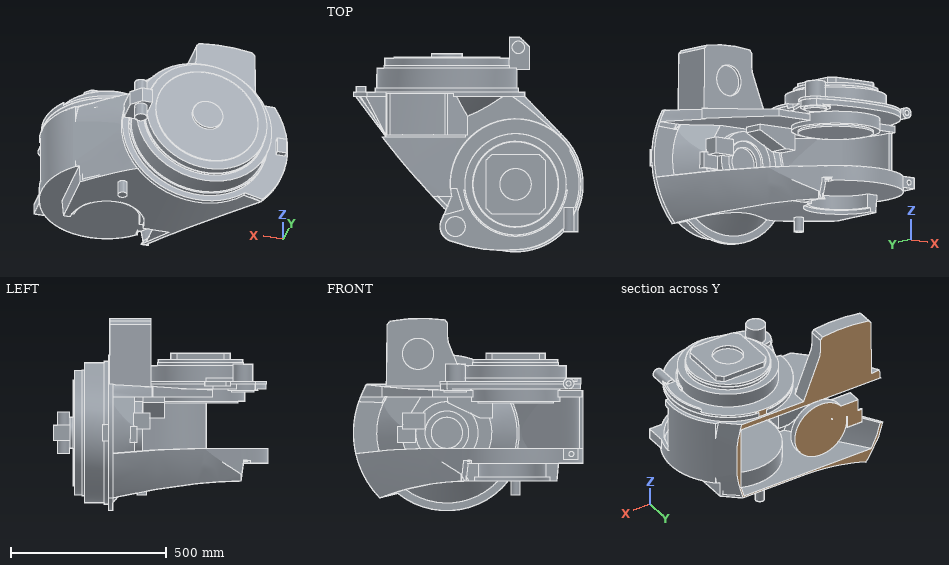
import cadquery as cq
import math

JOINT_X = 220.0
JOINT_RADIUS = 217.0
FLANGE_RADIUS = 250.0
SECTOR_RADIUS = 300.0
FLANGE_FRONT = 281.0
FLANGE_BACK = 295.0

LEFT_BOW = (-140.0, 67.0)
LEFT_TANGENT = 217.8
RIGHT_TANGENT = 44.8
WALL = 12.0
RIGHT_INSET = 18.0

ARM_BEND_X = -54.0
PLATE_BEND_X = 30.0
ARM_BOTTOM_BOW = (-89.0, -171.0)
SECTOR_CORNER_X = -216.0

ARM_TOP = -50.0
ARM_TOP_AT_SECTOR = -68.0
RING_BOTTOM = -98.0
RING_FLOOR = -92.0
TUB_FLOOR = -147.0
ARM_BOTTOM = -155.0
ARM_BOTTOM_AT_SECTOR = -209.0
PLATE_BOTTOM = 115.0
PLATE_TOP = 136.0
PLATE_TOP_AT_SECTOR = 160.0
SECTOR_TOP = 156.0

PLATE_END = -39.0
WALL_END = -18.5
TUB_END = -130.0
TUB_END_SLANT = 8.0
TUB_FRONT = -40.0
TUB_LEFT_X = 58.0
TUB_SIDE_X = 358.0
TUB_SIDE_SLANT = 5.0
WALL_START_X = 200.0

CLAMP_RADIUS = 210.0
CLAMP_BOTTOM = 140.0
CLAMP_TOP = 165.0
LOBE = (27.0, -135.5)
LOBE_RADIUS = 49.5

HINGE_FRONT = -153.0
HINGE_BACK = -75.0

BIG = 1000.0


def disc_y(radius, y_start, y_end, x=0.0, z=0.0):
    """Cylinder along Y."""
    start = cq.Vector(x, y_start, z)
    return cq.Workplane(cq.Solid.makeCylinder(radius, y_end - y_start, start, cq.Vector(0, 1, 0)))


def disc_z(radius, z_start, z_end, x=JOINT_X, y=0.0):
    """Cylinder along Z."""
    start = cq.Vector(x, y, z_start)
    return cq.Workplane(cq.Solid.makeCylinder(radius, z_end - z_start, start, cq.Vector(0, 0, 1)))


def block(x_range, y_range, z_range):
    """Box given by its limits along each axis."""
    lows, highs = zip(x_range, y_range, z_range)
    size = [high - low for low, high in zip(lows, highs)]
    return cq.Workplane("XY").box(*size, centered=False).translate(lows)


def joint_point(angle):
    """Plan point on the round end of the fork, at an angle in degrees from +X."""
    turn = math.radians(angle)
    return (JOINT_X + JOINT_RADIUS * math.cos(turn), JOINT_RADIUS * math.sin(turn))


def fork_prism(z_start, z_end, inset=0.0):
    """Plan outline of the fork: a bowed left side, the round joint end and a straight right side."""
    outline = (
        cq.Workplane("XY", origin=(0, 0, z_start))
        .moveTo(-SECTOR_RADIUS, FLANGE_BACK)
        .lineTo(-SECTOR_RADIUS, FLANGE_FRONT)
        .threePointArc(LEFT_BOW, joint_point(LEFT_TANGENT))
        .threePointArc(joint_point(-90), joint_point(RIGHT_TANGENT))
        .lineTo(FLANGE_RADIUS, FLANGE_FRONT)
        .lineTo(FLANGE_RADIUS, FLANGE_BACK)
        .close()
    )
    if inset:
        outline = outline.offset2D(-inset)
    return outline.extrude(z_end - z_start)


def left_envelope(inset=0.0):
    """Left limit of the lower arm: the sector arc, shifting toward the joint."""
    blend_depth = 411.0
    end_radius = 313.0
    end_center = 329.0
    end_y = FLANGE_FRONT - blend_depth
    shifted = (
        cq.Workplane("XZ", origin=(0, FLANGE_FRONT, 0))
        .circle(SECTOR_RADIUS - inset)
        .workplane(offset=blend_depth)
        .center(end_center, 0)
        .circle(end_radius - inset)
        .loft(ruled=True)
    )
    base = disc_y(SECTOR_RADIUS - inset, FLANGE_FRONT, FLANGE_BACK)
    front = block((-BIG, BIG), (-BIG, end_y), (-BIG, BIG))
    right = block((JOINT_X, BIG), (end_y, BIG), (-BIG, BIG))
    return shifted.union(base).union(front).union(right)


def right_envelope(inset=0.0):
    """Right limit of the fork: the flange circle, widening toward the joint; open on the left."""
    blend_depth = 123.0
    wide_radius = 601.0
    wide_center = -227.0
    widening = (
        cq.Workplane("XZ", origin=(0, FLANGE_FRONT, 0))
        .circle(FLANGE_RADIUS - inset)
        .workplane(offset=blend_depth)
        .center(wide_center, 0)
        .circle(wide_radius)
        .loft(ruled=True)
    )
    base = disc_y(FLANGE_RADIUS - inset, FLANGE_FRONT, FLANGE_BACK)
    left = block((-BIG, 0), (-BIG, BIG), (-BIG, BIG))
    front = block((-BIG, BIG), (-BIG, FLANGE_FRONT - blend_depth), (-BIG, BIG))
    return left.union(front).union(widening).union(base)


def lower_arm():
    """Lower arm ending in a shallow ring around the joint; its left side is deeper."""
    profile = (
        cq.Workplane("XZ", origin=(0, FLANGE_BACK, 0))
        .moveTo(BIG, ARM_TOP)
        .lineTo(ARM_BEND_X, ARM_TOP)
        .tangentArcPoint((-SECTOR_RADIUS, ARM_TOP_AT_SECTOR), relative=False)
        .lineTo(-SECTOR_RADIUS, ARM_BOTTOM_AT_SECTOR)
        .lineTo(SECTOR_CORNER_X, ARM_BOTTOM_AT_SECTOR)
        .threePointArc(ARM_BOTTOM_BOW, (TUB_LEFT_X, ARM_BOTTOM))
        .lineTo(TUB_SIDE_X - TUB_SIDE_SLANT, ARM_BOTTOM)
        .lineTo(TUB_SIDE_X, RING_BOTTOM)
        .lineTo(BIG, RING_BOTTOM)
        .close()
        .extrude(BIG)
    )
    before_tub = (
        cq.Workplane("YZ", origin=(-BIG, 0, 0))
        .polyline([
            (-BIG, RING_BOTTOM),
            (TUB_END - TUB_END_SLANT, RING_BOTTOM),
            (TUB_END, ARM_BOTTOM),
            (TUB_END, -BIG),
            (-BIG, -BIG),
        ])
        .close()
        .extrude(2 * BIG)
    )
    return fork_prism(-BIG, BIG).intersect(profile).cut(before_tub).intersect(left_envelope())


def upper_plate():
    """Upper fork plate, rising toward the left."""
    profile = (
        cq.Workplane("XZ", origin=(0, FLANGE_BACK, 0))
        .moveTo(BIG, PLATE_TOP)
        .lineTo(PLATE_BEND_X, PLATE_TOP)
        .tangentArcPoint((-SECTOR_RADIUS, PLATE_TOP_AT_SECTOR), relative=False)
        .lineTo(-SECTOR_RADIUS, PLATE_BOTTOM)
        .lineTo(BIG, PLATE_BOTTOM)
        .close()
        .extrude(FLANGE_BACK - PLATE_END)
    )
    return fork_prism(-BIG, BIG).intersect(profile).intersect(plate_left_limit())


def plate_left_limit():
    """Limit of the upper plate whose left edge leans in at the flange and turns upright further out."""
    upright_y = 152.0
    edge_x = -193.0
    low_edge_x = -277.0
    high_edge_x = -257.0
    middle = [(0, PLATE_TOP_AT_SECTOR), (0, PLATE_BOTTOM)]
    leaning = (
        cq.Workplane("XZ", origin=(0, FLANGE_FRONT, 0))
        .polyline([(low_edge_x, PLATE_BOTTOM), (high_edge_x, PLATE_TOP_AT_SECTOR), *middle])
        .close()
        .workplane(offset=FLANGE_FRONT - upright_y)
        .polyline([(edge_x, PLATE_BOTTOM), (edge_x, PLATE_TOP_AT_SECTOR), *middle])
        .close()
        .loft(ruled=True)
    )
    front = block((-BIG, BIG), (-BIG, upright_y), (-BIG, BIG))
    right = block((0, BIG), (-BIG, BIG), (-BIG, BIG))
    return leaning.union(front).union(right)


def side_wall():
    """Right side of the fork joining the lower arm to the upper plate."""
    return fork_prism(RING_BOTTOM, PLATE_BOTTOM).intersect(
        block((WALL_START_X, BIG), (WALL_END, BIG), (RING_BOTTOM, PLATE_BOTTOM))
    )


def fork_cavity():
    """Space inside the fork: the open middle, the ring recess and the deep tub."""
    tub_limits = block(
        (-BIG, TUB_SIDE_X - WALL), (TUB_FRONT + WALL, BIG), (TUB_FLOOR, RING_FLOOR)
    )
    tub = fork_prism(TUB_FLOOR, RING_FLOOR, WALL).intersect(tub_limits)
    cavity = fork_prism(RING_FLOOR, PLATE_BOTTOM, WALL).union(tub)
    return cavity.intersect(right_envelope(RIGHT_INSET)).intersect(left_envelope(WALL))


def joint_pedestal():
    """Round platform in the lower ring, standing on the tub floor."""
    radius = 174.0
    top = -87.0
    foot = disc_z(radius, ARM_BOTTOM, RING_FLOOR)
    foot = foot.intersect(block((-BIG, TUB_SIDE_X - TUB_SIDE_SLANT), (TUB_FRONT, BIG), (-BIG, BIG)))
    return disc_z(radius, RING_BOTTOM, top).union(foot)


def pedestal_recess():
    """Stepped round recess under the pedestal, open toward the front behind the lip of the arm."""
    x, y = 210.0, TUB_FRONT
    radius = 108.0
    step_radius = 121.0
    step_top = -142.0
    front_space = fork_prism(ARM_BOTTOM, RING_BOTTOM, WALL).intersect(
        block((-BIG, BIG), (-BIG, TUB_FRONT), (ARM_BOTTOM, RING_BOTTOM))
    )
    front_space = front_space.intersect(left_envelope(WALL))
    bore = disc_z(radius, ARM_BOTTOM, RING_BOTTOM, x, y)
    return bore.union(front_space).union(disc_z(step_radius, ARM_BOTTOM_AT_SECTOR, step_top, x, y))


def fork():
    """Hollow two-armed fork with the joint pedestal and a pin below the lower arm."""
    body = lower_arm().union(upper_plate()).union(side_wall()).cut(fork_cavity())
    notch_x, notch_y, notch_top = 79.0, -160.0, -88.0
    ring_notch = block((0, notch_x), (notch_y, TUB_END - TUB_END_SLANT), (RING_BOTTOM, notch_top))
    body = body.cut(ring_notch).union(joint_pedestal()).cut(pedestal_recess())
    pin_radius, pin_bottom, pin_y = 15.0, -200.0, 188.0
    bottom_pin = disc_z(pin_radius, pin_bottom, TUB_FLOOR, JOINT_X, pin_y)
    return body.intersect(right_envelope()).union(bottom_pin)


def flange():
    """Flange plate with its wider left sector, the stack of discs behind it and a tab."""
    plate = disc_y(FLANGE_RADIUS, FLANGE_FRONT, FLANGE_BACK)
    sector_limit = (
        cq.Workplane("XZ", origin=(0, FLANGE_BACK, 0))
        .polyline([
            (0, SECTOR_TOP),
            (-SECTOR_RADIUS, SECTOR_TOP),
            (-SECTOR_RADIUS, ARM_BOTTOM_AT_SECTOR),
            (SECTOR_CORNER_X, ARM_BOTTOM_AT_SECTOR),
            (0, ARM_BOTTOM),
        ])
        .close()
        .extrude(FLANGE_BACK - FLANGE_FRONT)
    )
    sector = disc_y(SECTOR_RADIUS, FLANGE_FRONT, FLANGE_BACK).intersect(sector_limit)
    body = plate.union(sector)
    stack = [(230.0, 309.0), (225.0, 372.0), (202.0, 380.0), (200.0, 404.5), (170.0, 408.5), (50.0, 418.5)]
    start = FLANGE_BACK
    for radius, end in stack:
        body = body.union(disc_y(radius, start, end))
        start = end
    tab = block((-291, -260), (FLANGE_BACK, 313.5), (-26.5, 26.5))
    return body.union(tab)


def hub():
    """Cone on the front of the flange with a round boss, two stops and a stepped recess in the boss."""
    base_radius = 225.0
    end_radius = 144.0
    cone_end = 212.0
    boss_radius = 100.0
    boss_end = 186.0
    cone_start = cq.Vector(0, cone_end, 0)
    cone_length = FLANGE_FRONT - cone_end
    cone = cq.Workplane(
        cq.Solid.makeCone(end_radius, base_radius, cone_length, cone_start, cq.Vector(0, 1, 0))
    )
    cut_corner = (-192, FLANGE_FRONT, PLATE_BOTTOM)
    chord = cq.Plane(origin=cut_corner, xDir=(102, -65, 0), normal=(-5.85, -9.18, 3.575))
    cone = cone.cut(cq.Workplane(chord).rect(2 * FLANGE_RADIUS, 2 * FLANGE_RADIUS).extrude(FLANGE_RADIUS))
    body = cone.union(disc_y(boss_radius, boss_end, cone_end))
    upper_stop = block((-142, -70), (162, 214), (12, 64))
    lower_stop = block((-158, -101), (204, 229), (-31, 21))
    body = body.union(upper_stop).union(lower_stop)
    for radius, depth in [(70.0, 8.0), (50.0, 20.0)]:
        body = body.cut(disc_y(radius, boss_end, boss_end + depth))
    return body


def flange_clamp():
    """Lug at the rear disc with a vertical pin."""
    half_height = 25.0
    inner_x, outer_x = 200.0, 265.0
    front, back = 367.0, 471.75
    pin_radius, pin_half_length = 20.0, 67.0
    pin_x, pin_y = 229.0, 439.0
    lug = (
        cq.Workplane("XY", origin=(0, 0, -half_height))
        .polyline([
            (157, 401),
            (inner_x, 401),
            (inner_x, back),
            (233, back),
            (outer_x, 441),
            (outer_x, front),
            (190, front),
            (157, 380),
        ])
        .close()
        .extrude(2 * half_height)
    )
    return lug.union(disc_z(pin_radius, -pin_half_length, pin_half_length, pin_x, pin_y))


def motor_box():
    """Box on the upper plate with a crowned top, a leaning right side and a round front recess."""
    front, back = 158.0, 291.0
    left = -195.0
    foot_width = 6.0
    foot_top = 150.0
    recess_radius, recess_depth = 50.0, 12.0
    recess_x, recess_z = -92.5, 253.0
    box = (
        cq.Workplane("XZ", origin=(0, back, 0))
        .moveTo(left, PLATE_BOTTOM)
        .lineTo(-192, 347)
        .lineTo(-182, 358)
        .threePointArc((-90, 367.2), (-6, 362))
        .lineTo(2, 352)
        .lineTo(2, 312)
        .lineTo(5, 289)
        .lineTo(75, PLATE_BOTTOM)
        .close()
        .extrude(back - front)
    )
    foot = block((left, 60), (front - foot_width, front), (PLATE_BOTTOM, foot_top))
    recess = disc_y(recess_radius, front, front + recess_depth, recess_x, recess_z)
    return box.union(foot).cut(recess)


def hanging_bracket():
    """Block with a slanted corner below the upper plate."""
    back, depth = 185.0, 70.0
    return (
        cq.Workplane("XZ", origin=(0, back, 0))
        .polyline([(2, PLATE_BOTTOM), (2, 97), (107, 47), (146, 47), (146, PLATE_BOTTOM)])
        .close()
        .extrude(depth)
    )


def clamp_layer(bottom, top, inset):
    """One layer of the clamp: the ring, the lobe and the web between them."""
    web = (
        cq.Workplane("XY", origin=(0, 0, bottom))
        .moveTo(JOINT_X, 0)
        .lineTo(14, -40)
        .lineTo(-18 + inset, -115)
        .lineTo(0, -177 + inset)
        .threePointArc((95, -205 + inset), (JOINT_X, -CLAMP_RADIUS + inset))
        .close()
        .extrude(top - bottom)
    )
    ring = disc_z(CLAMP_RADIUS - inset, bottom, top)
    return ring.union(web).union(disc_z(LOBE_RADIUS - inset, bottom, top, *LOBE))


def joint_clamp():
    """Clamp of two layers with a pin on its lobe, a slot beside the pin and a raised right rim."""
    seam_z = 157.0
    seam_step = 1.5
    slot_floor = 150.0
    collar_top = 175.0
    collar_radius = 167.0
    collar_end = -18.0
    rim_width = 6.0
    rim_start_x = 395.0
    pin_radius = 32.0
    pin_top = 220.0
    lobe_bottom = 136.0
    foot_radius = 36.0
    foot_bottom = 130.0
    body = clamp_layer(CLAMP_BOTTOM, seam_z, seam_step).union(clamp_layer(seam_z, CLAMP_TOP, 0.0))
    slot = (
        cq.Workplane("XY", origin=(0, 0, slot_floor))
        .polyline([(0, -12), (32, -14), (53, -81), (-5, -97), (-30, -90)])
        .close()
        .extrude(CLAMP_TOP - slot_floor)
    )
    body = body.cut(slot)
    half_collar = disc_z(collar_radius, CLAMP_TOP, collar_top)
    half_collar = half_collar.intersect(block((-BIG, BIG), (-BIG, collar_end), (-BIG, BIG)))
    rim = disc_z(CLAMP_RADIUS, CLAMP_TOP, collar_top)
    rim = rim.cut(disc_z(CLAMP_RADIUS - rim_width, CLAMP_TOP, collar_top))
    rim = rim.intersect(block((rim_start_x, BIG), (HINGE_BACK, BIG), (-BIG, BIG)))
    body = body.union(half_collar).union(rim)
    body = body.union(disc_z(pin_radius, CLAMP_BOTTOM, pin_top, *LOBE))
    body = body.union(disc_z(LOBE_RADIUS - seam_step, lobe_bottom, CLAMP_BOTTOM, *LOBE))
    return body.union(disc_z(foot_radius, foot_bottom, lobe_bottom, *LOBE))


def joint_stack():
    """Discs above and below the clamp and the square cap with a round recess."""
    cap_bottom, cap_top = 235.0, 255.0
    cap_side, cap_chamfer = 191.0, 19.5
    recess_radius, recess_depth = 50.5, 12.0
    stack = [
        (121.0, 95.0, 101.0),
        (142.0, 101.0, CLAMP_BOTTOM),
        (162.5, CLAMP_TOP, 215.0),
        (138.0, 215.0, 226.0),
        (136.0, 226.0, cap_bottom),
    ]
    cap = cq.Workplane("XY", origin=(JOINT_X, 0, cap_bottom)).rect(cap_side, cap_side)
    body = cap.extrude(cap_top - cap_bottom).edges("|Z").chamfer(cap_chamfer)
    body = body.cut(disc_z(recess_radius, cap_top - recess_depth, cap_top))
    for radius, bottom, top in stack:
        body = body.union(disc_z(radius, bottom, top))
    return body


def add_hinge_lugs(body):
    """Add the hinge barrel on the clamp and the matching drilled block on the lower ring."""
    barrel_radius = 17.0
    barrel_x, barrel_z = 390.0, 158.0
    lug_x, lug_z = 399.0, -68.0
    hole_radius, hole_depth = 8.0, 30.0
    ring_opening = disc_z(JOINT_RADIUS - WALL, ARM_BOTTOM, 0.0)
    barrel = disc_y(barrel_radius, HINGE_FRONT, HINGE_BACK, barrel_x, barrel_z)
    lug = block((372, 420.5), (HINGE_FRONT, HINGE_BACK), (-86, ARM_TOP)).cut(ring_opening)
    body = body.union(barrel).union(lug)
    for x, z in [(barrel_x, barrel_z), (lug_x, lug_z)]:
        body = body.cut(disc_y(hole_radius, HINGE_FRONT, HINGE_FRONT + hole_depth, x, z))
    return body


result = fork().union(flange()).union(hub()).union(flange_clamp())
result = result.union(motor_box()).union(hanging_bracket())
result = add_hinge_lugs(result.union(joint_stack()).union(joint_clamp()))